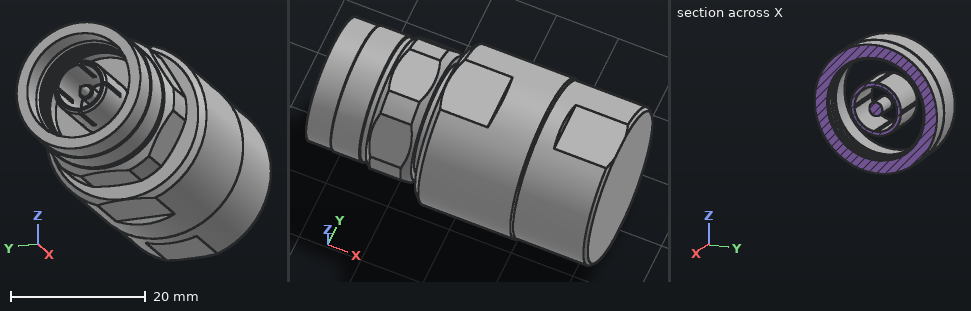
import cadquery as cq
import math


total_length = 46.6
band_start = 4.0
band_end = 8.8
hex_start = 9.7
hex_end = 17.0
body_start = 18.5
body_end = 34.35
nut_start = 34.7

sleeve_radius = 9.9
band_radius = 10.05
hex_corner_radius = 11.03
neck_radius = 8.72
body_radius = 12.8
gap_radius = 11.2
nut_radius = 12.6

band_chamfer = 0.13
hex_front_chamfer = 1.1
hex_rear_chamfer = 1.2
body_chamfer = 0.95
nut_chamfer = 0.5

hex_across_flats = 20.66
wrench_across_flats = 23.85
body_flat_end = 27.15
nut_flat_start = 37.65
flat_end_angle = 25.0

cut_margin = 1.0

mouth_radius = 8.15
mouth_depth = 3.6
socket_radius = 7.75
socket_depth = 10.5
thread_pitch = 1.0
thread_depth = 0.4
thread_start = 0.45
thread_width = 0.75
thread_count = 4

core_overlap = 0.5
core_end = socket_depth + core_overlap

collar_tip = 0.55
collar_outer_radius = 4.16
collar_inner_radius = 3.45
collar_outer_chamfer = 0.4
slot_width = 0.44
slot_length = 6.0
slot_count = 4

boss_radius = collar_inner_radius
boss_height = 1.0
boss_chamfer = 0.23

pin_tip = 0.9
pin_tip_radius = 0.12
pin_cone_radius = 0.85
pin_cone_length = 2.0
pin_radius = 1.1
pin_shoulder_length = 0.25


def turned(profile):
    """Revolve a closed (x, radius) profile about the X axis."""
    return cq.Workplane("XY").polyline(profile).close().revolve(360, (0, 0, 0), (1, 0, 0))


def cylinder(start, end, radius):
    """Plain cylinder on the X axis."""
    return cq.Workplane("YZ").workplane(offset=start).circle(radius).extrude(end - start)


def make_sleeve():
    sleeve = cylinder(0, hex_start, sleeve_radius)
    band = cylinder(band_start, band_end, band_radius).faces("<X or >X").chamfer(band_chamfer)
    return sleeve.union(band)


def make_hex():
    """Hexagon with flats facing +Z and -Z, its corners turned round and bevelled."""
    corner_diameter = hex_across_flats / math.cos(math.pi / 6)
    length = hex_end - hex_start
    prism = cq.Workplane("YZ").workplane(offset=hex_start).polygon(6, corner_diameter).extrude(length)
    envelope = cylinder(hex_start, hex_end, hex_corner_radius)
    envelope = envelope.faces("<X").chamfer(hex_front_chamfer)
    envelope = envelope.faces(">X").chamfer(hex_rear_chamfer)
    return prism.intersect(envelope)


def flat_cutter(floor_start, floor_end, front_rise, rear_rise):
    """Pair of blocks above and below the wrench flats; a rise slopes that end outwards."""
    floor = wrench_across_flats / 2
    top = body_radius + cut_margin
    run = (top - floor) * math.tan(math.radians(flat_end_angle))
    outline = [
        (floor_start, floor),
        (floor_end, floor),
        (floor_end + run * rear_rise, top),
        (floor_start - run * front_rise, top),
    ]
    upper = cq.Workplane("XZ").polyline(outline).close().extrude(body_radius, both=True)
    return upper.union(upper.mirror("XY"))


def make_body():
    body = cylinder(body_start, body_end, body_radius).faces("<X").chamfer(body_chamfer)
    return body.cut(flat_cutter(body_start, body_flat_end, 0, 1))


def make_nut():
    nut = cylinder(nut_start, total_length, nut_radius).faces(">X").chamfer(nut_chamfer)
    return nut.cut(flat_cutter(nut_flat_start, total_length, 1, 0))


def make_socket():
    """Smooth mouth, 45 degree lead-in and a bore with ring-shaped thread grooves."""
    lead_in_end = mouth_depth + mouth_radius - socket_radius
    socket = turned([
        (0, 0),
        (0, mouth_radius),
        (mouth_depth, mouth_radius),
        (lead_in_end, socket_radius),
        (socket_depth, socket_radius),
        (socket_depth, 0),
    ])
    for index in range(thread_count):
        start = lead_in_end + thread_start + index * thread_pitch
        groove = turned([
            (start, 0),
            (start, socket_radius),
            (start + thread_width / 2, socket_radius + thread_depth),
            (start + thread_width, socket_radius),
            (start + thread_width, 0),
        ])
        socket = socket.union(groove)
    return socket


def make_collar():
    collar = turned([
        (collar_tip, collar_inner_radius),
        (collar_tip, collar_outer_radius - collar_outer_chamfer),
        (collar_tip + collar_outer_chamfer, collar_outer_radius),
        (core_end, collar_outer_radius),
        (core_end, collar_inner_radius),
    ])
    slot = cq.Workplane("XY").box(
        slot_length, collar_outer_radius + cut_margin, slot_width, centered=(False, False, True)
    )
    slot = slot.translate((collar_tip, 0, 0))
    for index in range(slot_count):
        collar = collar.cut(slot.rotate((0, 0, 0), (1, 0, 0), index * 360 / slot_count))
    return collar


def make_boss():
    boss = cylinder(socket_depth - boss_height, core_end, boss_radius)
    return boss.faces("<X").chamfer(boss_chamfer)


def make_pin():
    cone_end = pin_tip + pin_cone_length
    return turned([
        (pin_tip, 0),
        (pin_tip, pin_tip_radius),
        (cone_end, pin_cone_radius),
        (cone_end + pin_shoulder_length, pin_radius),
        (core_end, pin_radius),
        (core_end, 0),
    ])


shell = make_sleeve().union(make_hex())
shell = shell.union(cylinder(hex_end, body_start, neck_radius))
shell = shell.union(make_body())
shell = shell.union(cylinder(body_end, nut_start, gap_radius))
shell = shell.union(make_nut())
shell = shell.cut(make_socket())

result = shell.union(make_collar()).union(make_boss()).union(make_pin())